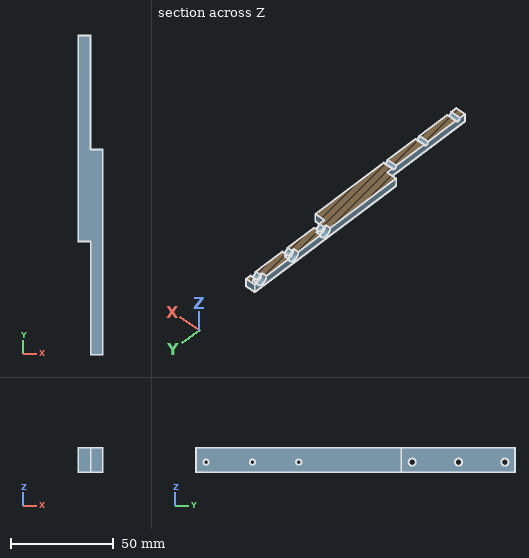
import cadquery as cq

back_bar_length = 100.09
front_bar_length = 99.75
bar_height = 12.0
bar_thickness = 6.0
bar_shift = 55.0

hole_count = 3
hole_pitch = 22.5
hole_end_margin = 5.0
hole_height = 5.0
clearance_diameter = 3.4
counterbore_diameter = 6.5
counterbore_depth = 3.0
tapping_diameter = 2.5

front_bar_x = bar_thickness
back_end_y = bar_shift + back_bar_length
hole_row_length = (hole_count - 1) * hole_pitch
back_row_y = back_end_y - hole_end_margin - hole_row_length
front_row_y = hole_end_margin


def bar(start_x, start_y, length):
    """Plain rectangular bar along Y, with its lower corner at the given place."""
    block = cq.Workplane("XY").box(bar_thickness, length, bar_height, centered=False)
    return block.translate((start_x, start_y, 0))


def hole_row(start_x, first_y, diameter, depth):
    """Row of cylinders spaced along Y, each running in +X from start_x."""
    places = [(first_y + i * hole_pitch, hole_height) for i in range(hole_count)]
    plane = cq.Workplane("YZ", origin=(start_x, 0, 0))
    return plane.pushPoints(places).circle(diameter / 2).extrude(depth)


result = (
    bar(0, bar_shift, back_bar_length)
    .union(bar(front_bar_x, 0, front_bar_length))
    .cut(hole_row(0, back_row_y, clearance_diameter, bar_thickness))
    .cut(hole_row(0, back_row_y, counterbore_diameter, counterbore_depth))
    .cut(hole_row(front_bar_x, front_row_y, tapping_diameter, bar_thickness))
)